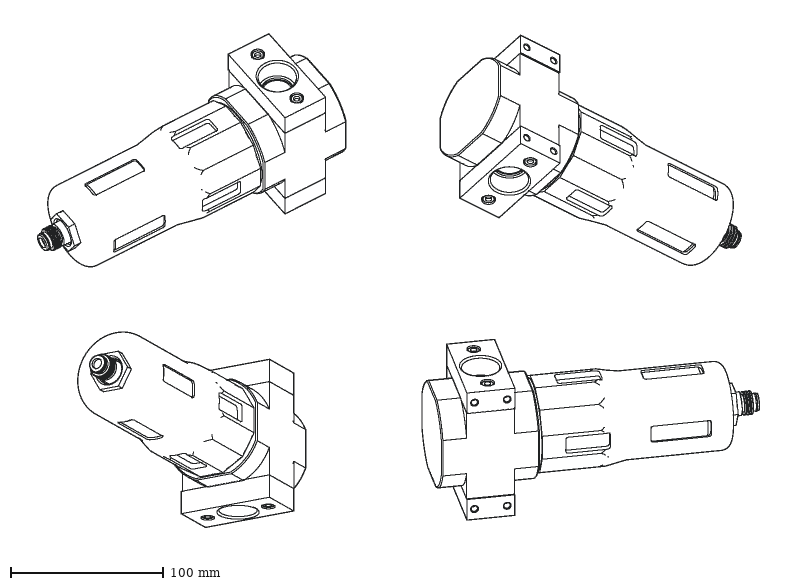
import cadquery as cq
import math


housing_width = 66.0
housing_half_width = housing_width / 2
housing_half_length = 32.9
housing_flat_half = 13.4
housing_corner_radius = math.hypot(housing_half_width, housing_flat_half)
housing_chamfer = 0.9

block_length = 32.2
plate_left = -34.0
plate_right = 33.0
plate_inner_z = 32.5
plate_outer_z = 48.0
plate_thickness = plate_outer_z - plate_inner_z

port_mouth_diameter = 27.8
port_chamfer = 1.3
port_diameter = port_mouth_diameter - 2 * port_chamfer
port_depth = 14.0
port_step_diameter = 21.5
port_bore_diameter = 19.7

side_hole_diameter = 4.2
side_hole_mouth = 5.3
side_hole_spacing = 22.0
side_hole_z = 40.1
side_hole_depth = 6.5
drill_tip_angle = 118

screw_spacing = 46.0
screw_hole_diameter = 9.0
screw_hole_depth = 8.8
screw_diameter = 8.5
screw_chamfer = 0.7
screw_recess = 0.7
screw_socket_diameter = 4.2
screw_socket_depth = 2.2

neck_diameter = 62.0
guard_start = -34.9
guard_flats = 12
guard_flat_radius = 32.2
guard_corner_radius = guard_flat_radius / math.cos(math.pi / guard_flats)
cone_start = -74.5
cone_end = -95.0
bowl_diameter = 59.0
bowl_radius = bowl_diameter / 2
bowl_end = -165.0
bowl_fillet = 6.4

window_width = 12.0
window_corner = 1.8
upper_window = (-50.6, -80.7)
lower_window = (-108.5, -149.0)
upper_floor_radius = 28.7
lower_floor_radius = 28.0
lower_floor_end = -146.9
lower_floor_drop = 1.0

collar_across_flats = 24.3
collar_end = -170.1
collar_bore = 18.0
collar_chamfer = 1.0

drain_diameter = 15.8
drain_neck_diameter = 11.6
drain_shoulder_end = -174.0
fin_count = 3
fin_start = -176.0
fin_thickness = 1.3
fin_chamfer = 0.5
fin_pitch = 2.2
lip_diameter = 12.3
lip_start = -184.0
lip_end = -184.8
drain_end = housing_half_length - 219.2
drain_tip_diameter = 11.5
drain_tip_rise = 0.2
drain_hole_diameter = 7.0
drain_hole_depth = 2.2


def plane_at(y):
    """Work plane across the bowl axis; extrusions from it run toward -Y."""
    return cq.Workplane("XZ", origin=(0, y, 0))


def turned(points):
    """Solid of revolution about the Y axis from (radius, y) points."""
    return cq.Workplane("XY").polyline(points).close().revolve(360, (0, 0), (0, 1))


def drilled_hole(diameter, depth):
    """Drill shape entering the XY plane downward, with a conical bottom."""
    radius = diameter / 2
    tip = radius / math.tan(math.radians(drill_tip_angle / 2))
    points = [(0, 0), (radius, 0), (radius, -depth), (0, -depth - tip)]
    return cq.Workplane("XZ").polyline(points).close().revolve(360, (0, 0), (0, 1))


def make_housing():
    length = 2 * housing_half_length
    barrel = (
        plane_at(housing_half_length)
        .rect(housing_width, housing_width)
        .extrude(length)
        .intersect(plane_at(housing_half_length).circle(housing_corner_radius).extrude(length))
        .faces("<Y or >Y")
        .chamfer(housing_chamfer)
    )
    block = cq.Workplane("XY").box(housing_width, block_length, 2 * plate_inner_z)
    trim = cq.Workplane("XY").box(housing_width, block_length, 2 * plate_outer_z)
    bore = cq.Workplane("XY").circle(port_bore_diameter / 2).extrude(plate_outer_z, both=True)
    return barrel.cut(trim).union(block).cut(bore)


def make_upper_plate():
    plate = cq.Workplane("XY").box(
        plate_right - plate_left, block_length, plate_thickness, centered=(False, True, False)
    )
    plate = plate.translate((plate_left, 0, plate_inner_z))
    port_plane = cq.Workplane("XY", origin=(0, 0, plate_outer_z))
    port = (
        port_plane.circle(port_diameter / 2)
        .extrude(-port_depth)
        .union(port_plane.circle(port_mouth_diameter / 2).extrude(-port_chamfer, taper=45))
        .union(port_plane.circle(port_step_diameter / 2).extrude(-plate_thickness))
    )
    plate = plate.cut(port)
    for x in (-screw_spacing / 2, screw_spacing / 2):
        hole = cq.Workplane("XY", origin=(x, 0, plate_outer_z)).circle(screw_hole_diameter / 2)
        plate = plate.cut(hole.extrude(-screw_hole_depth))
    side_hole = drilled_hole(side_hole_diameter, side_hole_depth)
    side_hole = side_hole.union(
        cq.Workplane("XY")
        .circle(side_hole_mouth / 2)
        .extrude(-(side_hole_mouth - side_hole_diameter) / 2, taper=45)
    )
    side_hole = side_hole.rotate((0, 0, 0), (0, 1, 0), -90)
    for y in (-side_hole_spacing / 2, side_hole_spacing / 2):
        plate = plate.cut(side_hole.translate((plate_left, y, side_hole_z)))
    return plate


def make_screw(x):
    """Screw of the upper plate, standing on the floor of its hole."""
    floor_z = plate_outer_z - screw_hole_depth
    top_z = plate_outer_z - screw_recess
    screw = (
        cq.Workplane("XY", origin=(x, 0, floor_z))
        .circle(screw_diameter / 2)
        .extrude(top_z - floor_z)
        .faces(">Z")
        .chamfer(screw_chamfer)
    )
    return screw.cut(drilled_hole(screw_socket_diameter, screw_socket_depth).translate((x, 0, top_z)))


def make_window(ends, floor_core):
    """Round-cornered pocket in the top side, down to the turned floor."""
    start, end = ends
    return (
        cq.Workplane("XY", origin=(0, (start + end) / 2, 0))
        .rect(window_width, start - end)
        .extrude(guard_corner_radius)
        .edges("|Z")
        .fillet(window_corner)
        .cut(floor_core)
    )


def make_guard():
    envelope = turned([
        (0, guard_start),
        (guard_corner_radius, guard_start),
        (guard_corner_radius, cone_start),
        (bowl_radius, cone_end),
        (bowl_radius, bowl_end),
        (0, bowl_end),
    ])
    envelope = envelope.faces("<Y").edges().fillet(bowl_fillet)
    prism = (
        plane_at(guard_start)
        .polygon(guard_flats, 2 * guard_corner_radius)
        .extrude(guard_start - bowl_end)
        .rotate((0, 0, 0), (0, 1, 0), 180 / guard_flats)
    )
    neck_start = -housing_half_length
    neck = plane_at(neck_start).circle(neck_diameter / 2).extrude(neck_start - guard_start)
    guard = envelope.intersect(prism).union(neck)

    floor_core = turned([
        (0, guard_start),
        (upper_floor_radius, guard_start),
        (upper_floor_radius, cone_end),
        (lower_floor_radius, cone_end),
        (lower_floor_radius, lower_floor_end),
        (lower_floor_radius - lower_floor_drop, lower_window[1]),
        (0, lower_window[1]),
    ])
    for ends in (upper_window, lower_window):
        window = make_window(ends, floor_core)
        for quarter in range(4):
            guard = guard.cut(window.rotate((0, 0, 0), (0, 1, 0), 90 * quarter))
    return guard


def make_drain_collar():
    across_corners = collar_across_flats / math.cos(math.pi / 6)
    return (
        plane_at(bowl_end)
        .polygon(6, across_corners)
        .circle(collar_bore / 2)
        .extrude(bowl_end - collar_end)
        .faces("<Y")
        .edges("%CIRCLE")
        .chamfer(collar_chamfer)
    )


def make_drain_valve():
    drain_radius = drain_diameter / 2
    neck_radius = drain_neck_diameter / 2
    tip_radius = drain_tip_diameter / 2
    drain = turned([
        (0, bowl_end),
        (drain_radius, bowl_end),
        (drain_radius, drain_shoulder_end),
        (neck_radius, drain_shoulder_end),
        (neck_radius, lip_start),
        (lip_diameter / 2, lip_start),
        (lip_diameter / 2, lip_end),
        (tip_radius, lip_end),
        (tip_radius, drain_end + drain_tip_rise),
        (drain_hole_diameter / 2, drain_end),
        (0, drain_end),
    ])
    for index in range(fin_count):
        fin = (
            plane_at(fin_start - index * fin_pitch)
            .circle(drain_radius)
            .extrude(fin_thickness)
            .faces("<Y")
            .chamfer(fin_chamfer)
        )
        drain = drain.union(fin)
    hole = plane_at(drain_end).circle(drain_hole_diameter / 2).extrude(-drain_hole_depth)
    return drain.cut(hole)


housing = make_housing()
upper_plate = make_upper_plate()
lower_plate = upper_plate.mirror("XY")
upper_screws = [make_screw(side * screw_spacing / 2) for side in (-1, 1)]
lower_screws = [screw.mirror("XY") for screw in upper_screws]
guard = make_guard()
drain_collar = make_drain_collar()
drain_valve = make_drain_valve()

bodies = [housing, upper_plate, lower_plate, *upper_screws, *lower_screws]
bodies += [guard, drain_collar, drain_valve]
result = cq.Compound.makeCompound([body.val() for body in bodies])